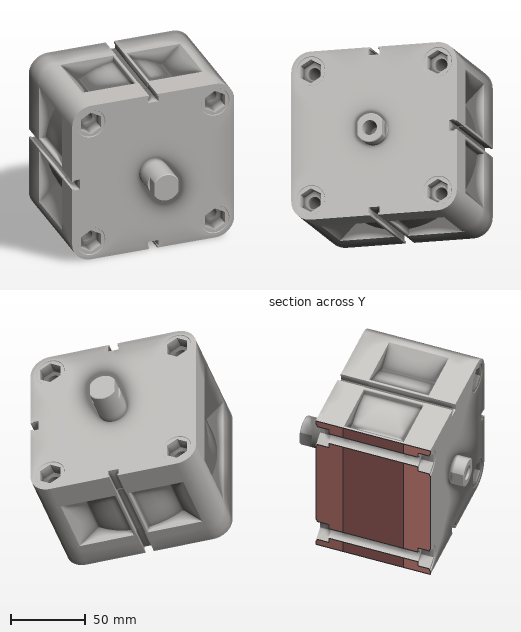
import cadquery as cq
import math

TOTAL_LENGTH = 117.0
ROD_FRONT = 10.0
CAP_LENGTH = 19.7
BARREL_LENGTH = 42.7
BARREL_START = ROD_FRONT + CAP_LENGTH
BARREL_END = BARREL_START + BARREL_LENGTH
BODY_CENTER = BARREL_START + BARREL_LENGTH / 2

SIDE = 116.0
CORNER_RADIUS = 13.6
HALF_SIDE = SIDE / 2
BOLT_OFFSET = HALF_SIDE - CORNER_RADIUS

BOLT_HOLE_DIAMETER = 8.5
HEX_ACROSS_FLATS = 14.2
HEX_DEPTH = 9.0
SEAT_DIAMETER = 20.2
SEAT_DEPTH = 0.5
SEAT_RIM = 0.2

ROD_DIAMETER = 20.0
ROD_CHAMFER = 0.5
FLAT_LENGTH = 9.0
ACROSS_FLATS = 17.0
ROD_HOLE_DIAMETER = 10.2
ROD_HOLE_DEPTH = 19.9
DRILL_POINT_ANGLE = 118

TUBE_RADIUS = 53.5
POST_WIDTH = 21.2
RAIL_WIDTH = 10.5
RAIL_ROUND = 1.0
WALL_FILLET = 1.2

SLOT_OPENING = 5.8
SLOT_LIP = 1.5
CAP_SLOT_WIDTH = 7.5
CAP_SLOT_DEPTH = 5.5
BARREL_SLOT_WIDTH = 6.5
BARREL_SLOT_DEPTH = 5.0
MOUTH_ROUND = 0.5
SLOT_ANGLES = (0, 90, 180)
CORNER_ANGLES = (45, 135, 225, 315)


def section(x):
    """Workplane across the axis: local x is +Y and local y is +Z."""
    return cq.Workplane("YZ", origin=(x, 0, 0))


def turned(shape, angle):
    """The shape turned about the rod axis; 90 degrees takes the +Z side to -Y."""
    return shape.rotate((0, 0, 0), (1, 0, 0), angle)


def bolt_points():
    """The four bolt centres as (y, z)."""
    return [(y, z) for y in (-BOLT_OFFSET, BOLT_OFFSET) for z in (-BOLT_OFFSET, BOLT_OFFSET)]


def top_slot(start, length, width, depth):
    """T-slot cutter for the +Z side."""
    opening = (
        section(start)
        .center(0, HALF_SIDE - depth / 2)
        .rect(SLOT_OPENING, depth)
        .extrude(length)
    )
    cavity_height = depth - SLOT_LIP
    cavity = (
        section(start)
        .center(0, HALF_SIDE - depth + cavity_height / 2)
        .rect(width, cavity_height)
        .extrude(length)
    )
    return opening.union(cavity)


def make_front_cap():
    """Square end cap with sensor slots, bolt sockets and the rod hole."""
    cap = (
        section(ROD_FRONT)
        .rect(SIDE, SIDE)
        .extrude(CAP_LENGTH)
        .edges("|X")
        .fillet(CORNER_RADIUS)
    )
    slot = top_slot(ROD_FRONT, CAP_LENGTH, CAP_SLOT_WIDTH, CAP_SLOT_DEPTH)
    for angle in SLOT_ANGLES:
        cap = cap.cut(turned(slot, angle))

    face = section(ROD_FRONT)
    bolts = face.pushPoints(bolt_points())
    rim_angle = math.degrees(math.atan2(SEAT_RIM, SEAT_DEPTH))
    cap = cap.cut(bolts.circle(SEAT_DIAMETER / 2).extrude(SEAT_DEPTH, taper=rim_angle))
    cap = cap.cut(bolts.circle(BOLT_HOLE_DIAMETER / 2).extrude(CAP_LENGTH))
    hex_across_corners = HEX_ACROSS_FLATS / math.cos(math.radians(30))
    for y, z in bolt_points():
        hex_socket = face.polygon(6, hex_across_corners).extrude(HEX_DEPTH)
        cap = cap.cut(turned(hex_socket, 90).translate((0, y, z)))
    return cap.cut(face.circle(ROD_DIAMETER / 2).extrude(CAP_LENGTH))


def barrel_slot():
    """T-slot cutter over the whole barrel length, on the +Z side."""
    return top_slot(BARREL_START, BARREL_LENGTH, BARREL_SLOT_WIDTH, BARREL_SLOT_DEPTH)


def make_post():
    """Corner post pointing to +Z: a round end on two flat parallel walls."""
    bolt_radius = BOLT_OFFSET * math.sqrt(2)
    half_width = POST_WIDTH / 2
    arc_start = bolt_radius + math.sqrt(CORNER_RADIUS**2 - half_width**2)
    return (
        section(BARREL_START)
        .moveTo(-half_width, 0)
        .lineTo(-half_width, arc_start)
        .threePointArc((0, bolt_radius + CORNER_RADIUS), (half_width, arc_start))
        .lineTo(half_width, 0)
        .close()
        .extrude(BARREL_LENGTH)
    )


def make_rail():
    """Rail on the +Z side, with rounded outer corners and a rounded slot mouth."""
    rail = (
        section(BARREL_START)
        .center(0, HALF_SIDE / 2)
        .rect(RAIL_WIDTH, HALF_SIDE)
        .extrude(BARREL_LENGTH)
        .edges("|X and >Z")
        .fillet(RAIL_ROUND)
    )
    rail = rail.cut(barrel_slot())
    around_mouth = cq.selectors.BoxSelector(
        (BARREL_START, -CAP_SLOT_WIDTH / 2, HALF_SIDE - SLOT_LIP / 2),
        (BARREL_END, CAP_SLOT_WIDTH / 2, HALF_SIDE + SLOT_LIP / 2),
    )
    return rail.edges("|X").edges(around_mouth).fillet(MOUTH_ROUND)


def make_barrel():
    """Round middle part with four corner posts and three slotted rails."""
    barrel = section(BARREL_START).circle(TUBE_RADIUS).extrude(BARREL_LENGTH)
    for angle in CORNER_ANGLES:
        barrel = barrel.union(turned(make_post(), angle))
    for angle in SLOT_ANGLES:
        barrel = barrel.union(turned(make_rail(), angle))

    inner_corners = [
        edge
        for edge in barrel.edges("|X").vals()
        if math.isclose(math.hypot(edge.Center().y, edge.Center().z), TUBE_RADIUS, abs_tol=0.001)
    ]
    barrel = barrel.newObject(inner_corners).fillet(WALL_FILLET)

    for angle in SLOT_ANGLES:
        barrel = barrel.cut(turned(barrel_slot(), angle))
    bolts = section(BARREL_START).pushPoints(bolt_points())
    barrel = barrel.cut(bolts.circle(BOLT_HOLE_DIAMETER / 2).extrude(BARREL_LENGTH))
    return barrel.cut(section(BARREL_START).circle(ROD_DIAMETER / 2).extrude(BARREL_LENGTH))


def make_rod():
    """Through rod with wrench flats at both ends and a blind hole in the -X end."""
    rod = section(0).circle(ROD_DIAMETER / 2).extrude(TOTAL_LENGTH)
    rod = rod.faces("<X or >X").edges().chamfer(ROD_CHAMFER)
    for start in (0, TOTAL_LENGTH - FLAT_LENGTH):
        for side in (-1, 1):
            beside_flat = (
                section(start)
                .center(side * (ACROSS_FLATS + ROD_DIAMETER) / 2, 0)
                .rect(ROD_DIAMETER, ROD_DIAMETER)
                .extrude(FLAT_LENGTH)
            )
            rod = rod.cut(beside_flat)
    hole_radius = ROD_HOLE_DIAMETER / 2
    hole_tip = ROD_HOLE_DEPTH + hole_radius / math.tan(math.radians(DRILL_POINT_ANGLE / 2))
    hole = (
        cq.Workplane("XZ")
        .polyline([(0, 0), (0, hole_radius), (ROD_HOLE_DEPTH, hole_radius), (hole_tip, 0)])
        .close()
        .revolve(360, (0, 0, 0), (1, 0, 0))
    )
    return rod.cut(hole)


front_cap = make_front_cap()
rear_cap = front_cap.mirror("YZ", (BODY_CENTER, 0, 0))
barrel = make_barrel()
rod = make_rod()

result = cq.Compound.makeCompound([front_cap.val(), rear_cap.val(), barrel.val(), rod.val()])